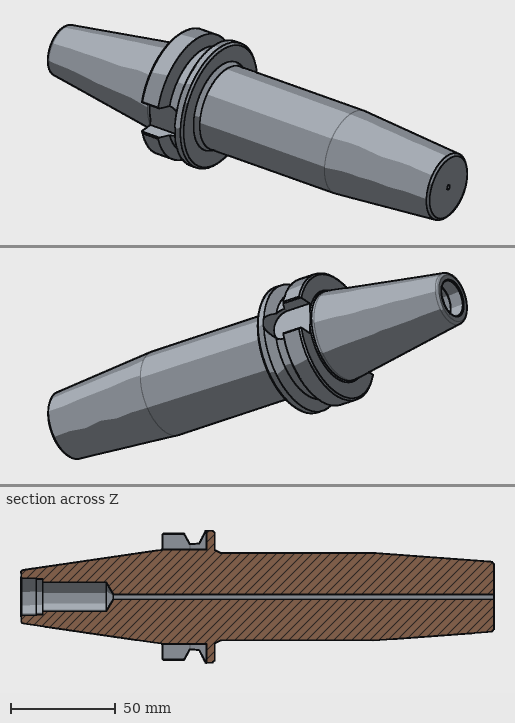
import cadquery as cq
import math

total_length = 225.5
gauge_x = 65.4
flange_start_x = 67.5
flange_end_x = 92.5
collar_end_x = 95.1
nose_start_x = 167.7

gauge_radius = 44.5 / 2
taper_ratio = 7 / 24
small_radius = gauge_radius - gauge_x * taper_ratio / 2
small_end_rounding = 1.4
gauge_flare = 0.7

flange_radius = 63.0 / 2
groove_radius = 52.7 / 2
groove_center_x = 82.7
groove_floor_width = 4.5
groove_flank_angle = 30.0
flange_front_chamfer = 1.0
flange_rear_chamfer = 1.1

body_radius = 42.0 / 2
collar_radius = 22.3
nose_end_radius = 16.7
nose_chamfer = 1.1

slot_width = 16.0
slot_floor_distance = 22.5
slot_end_x = 88.4
slot_edge_chamfer = 0.7

mouth_radius = 17.5 / 2
mouth_chamfer = 0.5
mouth_depth = 7.2
neck_radius = 17.0 / 2
neck_depth = 10.4
drill_radius = 13.7 / 2
drill_depth = 40.5
drill_tip_angle = 118.0
through_radius = 1.1


def revolve_about_x(points):
    """Revolve an (x, radius) outline a full turn about the X axis."""
    return cq.Workplane("XY").polyline(points).close().revolve(360, (0, 0, 0), (1, 0, 0))


def make_body():
    half_floor = groove_floor_width / 2
    flank_run = (flange_radius - groove_radius) * math.tan(math.radians(groove_flank_angle))
    nose_slope = (body_radius - nose_end_radius) / (total_length - nose_start_x)
    return revolve_about_x([
        (0, 0),
        (0, small_radius),
        (gauge_x, gauge_radius),
        (flange_start_x - gauge_flare, gauge_radius),
        (flange_start_x, gauge_radius + gauge_flare),
        (flange_start_x, flange_radius - flange_front_chamfer),
        (flange_start_x + flange_front_chamfer, flange_radius),
        (groove_center_x - half_floor - flank_run, flange_radius),
        (groove_center_x - half_floor, groove_radius),
        (groove_center_x + half_floor, groove_radius),
        (groove_center_x + half_floor + flank_run, flange_radius),
        (flange_end_x - flange_rear_chamfer, flange_radius),
        (flange_end_x, flange_radius - flange_rear_chamfer),
        (flange_end_x, collar_radius),
        (collar_end_x, body_radius),
        (nose_start_x, body_radius),
        (total_length - nose_chamfer, nose_end_radius + nose_chamfer * nose_slope),
        (total_length, nose_end_radius - nose_chamfer),
        (total_length, 0),
    ])


def make_bore():
    tip_length = (drill_radius - through_radius) / math.tan(math.radians(drill_tip_angle / 2))
    return revolve_about_x([
        (0, 0),
        (0, mouth_radius + mouth_chamfer),
        (mouth_chamfer, mouth_radius),
        (mouth_depth, mouth_radius),
        (mouth_depth, neck_radius),
        (neck_depth, neck_radius),
        (neck_depth, drill_radius),
        (drill_depth, drill_radius),
        (drill_depth + tip_length, through_radius),
        (total_length, through_radius),
        (total_length, 0),
    ])


def make_drive_slot(side):
    """Round-ended slot open to the flange front, on the side = -1 or +1 of Y."""
    half_width = slot_width / 2
    arc_center_x = slot_end_x - half_width
    return (
        cq.Workplane("XZ", origin=(0, side * slot_floor_distance, 0))
        .moveTo(gauge_x, -half_width)
        .lineTo(arc_center_x, -half_width)
        .threePointArc((slot_end_x, 0), (arc_center_x, half_width))
        .lineTo(gauge_x, half_width)
        .close()
        .extrude(-side * flange_radius)
    )


def is_outer_edge(edge):
    """Tell whether an edge lies outside the gripper groove floor."""
    center = edge.Center()
    return math.hypot(center.y, center.z) > groove_radius


result = make_body().faces("<X").edges().fillet(small_end_rounding)
for slot_side in (-1, 1):
    result = result.cut(make_drive_slot(slot_side))
result = result.edges("|X").filter(is_outer_edge).chamfer(slot_edge_chamfer)
result = result.cut(make_bore())